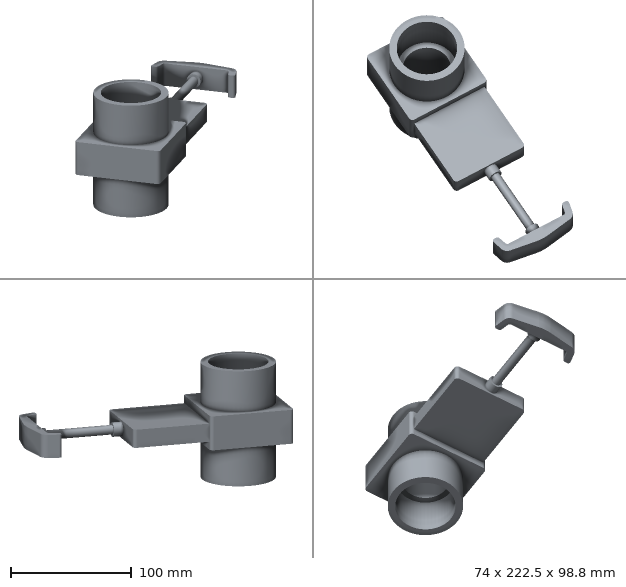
import cadquery as cq


block_width = 74.0
block_front = -36.7
block_back = 36.0
block_height = 29.1
corner_radius = 3.1
neck_width = 67.9
neck_end = 102.0
neck_height = 15.5
tube_diameter = 62.5
tube_length = 98.8
socket_diameter = 50.0
bore_diameter = 40.0
socket_depth = (tube_length - block_height) / 2

rod_diameter = 8.0
collar_diameter = 12.0
housing_collar_end = 110.0
handle_collar_end = 168.0

handle_height = 19.8
grip_face = 175.3
handle_tip = 165.0
crown_corner = 186.2
crown_radius = 34.5
shoulder_x = 33.4
shoulder_y = 180.9
tip_outer_x = 37.2
tip_inner_x = 31.0
grip_half_width = 28.3
shoulder_radius = 6.7
grip_corner_radius = 2.0
tip_radius = 2.0


def cylinder_along_y(diameter, start, end):
    """Solid cylinder on the rod axis between two Y positions."""
    return (
        cq.Workplane("XZ", origin=(0, start, 0))
        .circle(diameter / 2)
        .extrude(start - end)
    )


def cylinder_along_z(diameter, bottom, top):
    """Solid cylinder on the flow axis between two Z positions."""
    return cq.Workplane("XY", origin=(0, 0, bottom)).circle(diameter / 2).extrude(top - bottom)


def plate(width, front, back, height):
    """Rectangular plate centred in X and Z, between two Y positions."""
    return cq.Workplane("XY").box(width, back - front, height).translate((0, (front + back) / 2, 0))


def make_housing():
    """Valve block with its slide neck, rod collar and two pipe sockets."""
    block = plate(block_width, block_front, block_back, block_height).edges("|Z").fillet(corner_radius)
    neck = plate(neck_width, 0, neck_end, neck_height).edges("|Z and >Y").fillet(corner_radius)
    collar = cylinder_along_y(collar_diameter, neck_end, housing_collar_end)
    half_length = tube_length / 2
    tube = cylinder_along_z(tube_diameter, -half_length, half_length)
    bore = cylinder_along_z(bore_diameter, -half_length, half_length)
    upper_socket = cylinder_along_z(socket_diameter, half_length - socket_depth, half_length)
    lower_socket = cylinder_along_z(socket_diameter, -half_length, socket_depth - half_length)
    body = block.union(neck).union(collar).union(tube)
    return body.cut(bore).cut(upper_socket).cut(lower_socket)


def make_rod():
    """Operating rod spanning the gap between the two collars."""
    return cylinder_along_y(rod_diameter, housing_collar_end, handle_collar_end)


def make_handle():
    """Crowned pull handle with two splayed finger hooks and a rod collar."""
    right_side = [
        (shoulder_x, shoulder_y),
        (tip_outer_x, handle_tip),
        (tip_inner_x, handle_tip),
        (grip_half_width, grip_face),
    ]
    left_side = [(-x, y) for x, y in reversed(right_side)]
    grip = (
        cq.Workplane("XY")
        .polyline([(0, crown_corner)] + right_side + left_side)
        .close()
        .extrude(handle_height / 2, both=True)
    )

    def round_corners(solid, x, y, radius):
        """Round the edges along Z at x and at its mirror image."""
        for side_x in sorted({x, -x}):
            solid = solid.edges(cq.NearestToPointSelector((side_x, y, 0))).fillet(radius)
        return solid

    grip = round_corners(grip, 0, crown_corner, crown_radius)
    grip = round_corners(grip, shoulder_x, shoulder_y, shoulder_radius)
    grip = round_corners(grip, grip_half_width, grip_face, grip_corner_radius)
    grip = round_corners(grip, tip_outer_x, handle_tip, tip_radius)
    grip = round_corners(grip, tip_inner_x, handle_tip, tip_radius)
    collar = cylinder_along_y(collar_diameter, handle_collar_end, grip_face)
    return grip.union(collar)


housing = make_housing()
rod = make_rod()
handle = make_handle()

result = cq.Compound.makeCompound([housing.val(), rod.val(), handle.val()])